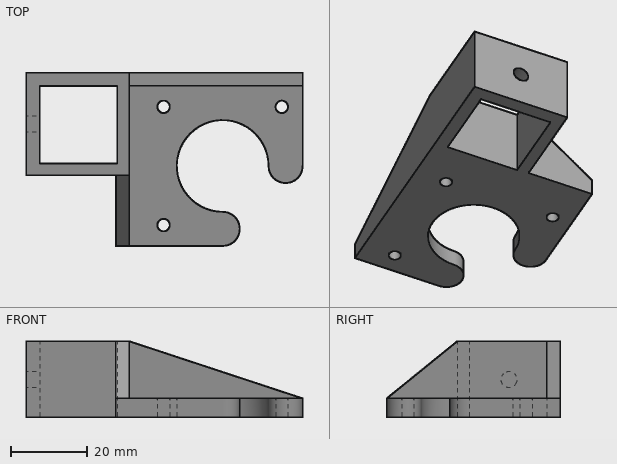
import cadquery as cq
import math

tube_size = 20.0
wall = 3.5
socket_size = tube_size + 2 * wall
tube_clearance = 0.2
bore_size = tube_size + tube_clearance
outer_wall = 3.6
height = 20.0
set_screw_diameter = 4.2

motor_size = 42.0
pilot_radius = 12.0
plate_thickness = 5.0
screw_diameter = 3.2
screw_spacing = 31.0

plate_size = motor_size + wall
total_x = socket_size + plate_size
lobe_radius = (motor_size / 2 - pilot_radius) / 2
lobe_offset = pilot_radius + lobe_radius

motor_x = total_x - motor_size / 2
motor_y = -plate_size + motor_size / 2
rib_x = socket_size - wall


def make_socket():
    """Solid square block; the bore is cut after the parts are joined."""
    block = cq.Workplane("XY").box(socket_size, socket_size, height, centered=False)
    return block.translate((0, -socket_size, 0))


def make_plate():
    """Square plate whose open corner leaves two rounded arms around the pilot hole."""
    diagonal = pilot_radius * math.sqrt(0.5)
    return (
        cq.Workplane("XY")
        .moveTo(socket_size, 0)
        .lineTo(total_x, 0)
        .lineTo(total_x, motor_y)
        .threePointArc(
            (motor_x + lobe_offset, motor_y - lobe_radius),
            (motor_x + pilot_radius, motor_y),
        )
        .threePointArc(
            (motor_x - diagonal, motor_y + diagonal),
            (motor_x, motor_y - pilot_radius),
        )
        .threePointArc(
            (motor_x + lobe_radius, motor_y - lobe_offset),
            (motor_x, -plate_size),
        )
        .lineTo(socket_size, -plate_size)
        .close()
        .extrude(plate_thickness)
    )


def make_back_rib():
    """Sloping rib along the back edge of the plate."""
    return (
        cq.Workplane("XZ")
        .moveTo(socket_size, 0)
        .lineTo(total_x, 0)
        .lineTo(total_x, plate_thickness)
        .lineTo(socket_size, height)
        .close()
        .extrude(wall)
    )


def make_side_rib():
    """Sloping rib from the front of the socket along the side of the plate."""
    return (
        cq.Workplane("YZ", origin=(rib_x, 0, 0))
        .moveTo(-socket_size, 0)
        .lineTo(-plate_size, 0)
        .lineTo(-plate_size, plate_thickness)
        .lineTo(-socket_size, height)
        .close()
        .extrude(wall)
    )


def make_socket_bore():
    """Square bore through the full height, set slightly off centre in the socket."""
    bore_centre = outer_wall + bore_size / 2
    return (
        cq.Workplane("XY")
        .center(bore_centre, -bore_centre)
        .rect(bore_size, bore_size)
        .extrude(height)
    )


def make_set_screw_hole():
    """Hole through the outer socket wall only, ending inside the bore."""
    return (
        cq.Workplane("YZ")
        .center(-socket_size / 2, height / 2)
        .circle(set_screw_diameter / 2)
        .extrude(socket_size / 2)
    )


def make_motor_screw_holes():
    """Three motor screw holes; the fourth position lies in the open corner."""
    reach = screw_spacing / 2
    positions = [(-reach, reach), (reach, reach), (-reach, -reach)]
    return (
        cq.Workplane("XY")
        .center(motor_x, motor_y)
        .pushPoints(positions)
        .circle(screw_diameter / 2)
        .extrude(plate_thickness)
    )


body = make_socket().union(make_plate()).union(make_back_rib()).union(make_side_rib())
result = body.cut(make_socket_bore()).cut(make_set_screw_hole()).cut(make_motor_screw_holes())